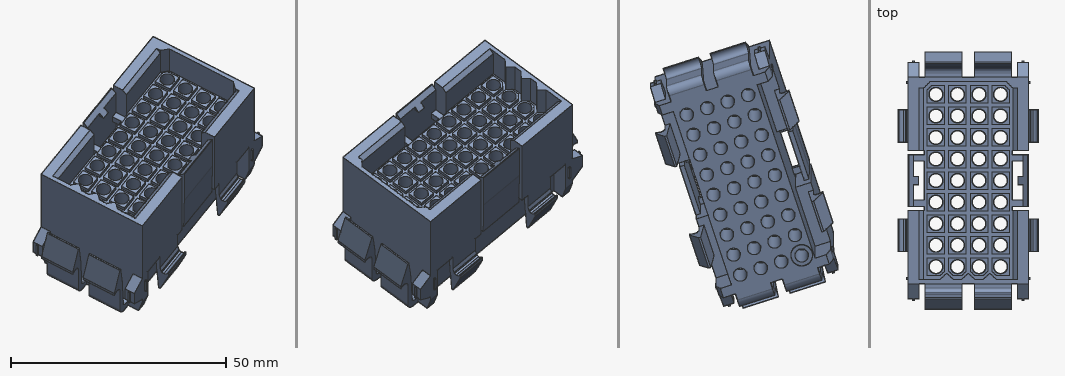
import cadquery as cq

OVERALL_X = 32.6
OVERALL_Y = 59.8
OVERALL_Z = 33.5

PAD_DIAMETER = 5.0
PAD_HEIGHT = 0.5

BODY_X = 28.0
BODY_Y = 48.0
BODY_Z = OVERALL_Z - PAD_HEIGHT
HALF_X = BODY_X / 2
HALF_Y = BODY_Y / 2

COLUMNS = 4
ROWS = 9
ROW_SPAN = 40.0
PITCH = ROW_SPAN / (ROWS - 1)
UPPER_HOLE_DIAMETER = 3.3
LOWER_HOLE_DIAMETER = 3.1
PILLAR_SIDE = 4.05
PILLAR_HEIGHT = 0.9
PILLAR_CORNER_CUT = 1.0
FLOOR_Z = 24.65
FIRST_COLUMN_X = -PITCH * (COLUMNS - 1) / 2
FIRST_ROW_Y = -ROW_SPAN / 2

CAVITY_HALF_X = 10.35
CAVITY_HALF_Y = 22.95
CAVITY_CORNER_CUT = 1.5
CHAMFER_WIDTH = 1.1
CHAMFER_DROP = 1.0
TOOTH_HALF_WIDTH = 1.55
TOOTH_HEIGHT = 1.45

CORE_HALF_X = 10.2
RECESS_Z = 13.0
POST_LENGTH = 2.35
POST_TAPER = 1.1
POST_TAPER_Z = 4.0
GAP_HALF_Y = 6.95

PANEL_HALF_Y = 6.05
PANEL_INNER_X = 12.7
PANEL_TOP_X = 13.8
PANEL_BOTTOM_X = 13.8
PANEL_BEND_Z = 23.0
PANEL_TOOTH_X = 11.55
PANEL_TOOTH_WIDTH = 2.0
BRIDGE_LENGTH = 1.55
BRIDGE_HEIGHT = 1.8

SIDE_CLIP_Y = 12.7
SIDE_CLIP_LENGTH = 7.6
SIDE_CLIP_REACH = OVERALL_X / 2
SIDE_CLIP_TOP_INNER_X = 12.75
SIDE_CLIP_FOOT_Z = 1.0
SIDE_CLIP_FOOT_INNER_X = 13.6
SIDE_CLIP_FOOT_OUTER_X = 14.05
SIDE_CLIP_LIP_BOTTOM_Z = 7.2
SIDE_CLIP_LIP_TOP_Z = 8.15
SIDE_CLIP_LIP_WIDTH = 0.25
SIDE_CLIP_LIP_ARC_MIDDLE = (15.65, 7.6)
SIDE_CLIP_VALLEY_START_Z = 8.8
SIDE_CLIP_VALLEY_POINTS = [(14.35, 7.7), (14.55, 7.5), (15.05, 7.35)]

LATCH_INNER_X = 1.45
LATCH_WIDTH = 8.6
LATCH_REACH = OVERALL_Y / 2
LATCH_OUTER_Y = 27.5
LATCH_FOOT_INNER_Y = 26.0
LATCH_WAIST_INNER_Y = 26.5
LATCH_WAIST_Z = 11.7
LATCH_TIP_INNER_Y = 27.15
LATCH_TIP_Z = 17.1
LATCH_LIP_TOP_Z = 10.9
LATCH_LIP_BOTTOM_Z = 10.1
LATCH_VALLEY_Y = 28.8
LATCH_VALLEY_Z = 10.65
LATCH_VALLEY_END_Z = 9.15
LATCH_FLOOR = 1.8
LATCH_OUTER_RADIUS = 2.0
LATCH_INNER_RADIUS = 1.0

LUG_WIDTH = 2.6
LUG_REACH_Y = 27.45
LUG_FACE_BOTTOM_Z = 7.1
LUG_FACE_TOP_Z = 11.0
LUG_BOTTOM_Z = 5.0
RIB_WIDTH = 0.5
RIB_HEIGHT = 0.35
SIDE_RIB_Y = 22.8


def box(x_range, y_range, z_range):
    """Axis-aligned block between the given limits."""
    size = [high - low for low, high in (x_range, y_range, z_range)]
    return cq.Workplane("XY").box(*size, centered=False).translate((x_range[0], y_range[0], z_range[0]))


def mirrored_x(shape):
    """The shape together with its mirror image at -X."""
    return shape.union(shape.mirror("YZ"))


def mirrored_y(shape):
    """The shape together with its mirror image at -Y."""
    return shape.union(shape.mirror("XZ"))


def along_y(profile, y_low, y_high):
    """Extrude a closed XZ profile from y_low to y_high."""
    return profile.extrude(-(y_high - y_low)).translate((0, y_low, 0))


def make_body():
    """Block with tapered lower corners, side recesses and gaps for the centre panels."""
    outline = (
        cq.Workplane("XZ")
        .moveTo(HALF_X - POST_TAPER, 0)
        .lineTo(HALF_X, POST_TAPER_Z)
        .lineTo(HALF_X, BODY_Z)
        .lineTo(-HALF_X, BODY_Z)
        .lineTo(-HALF_X, POST_TAPER_Z)
        .lineTo(POST_TAPER - HALF_X, 0)
        .close()
    )
    recess_half_y = HALF_Y - POST_LENGTH
    recess = box((CORE_HALF_X, HALF_X), (-recess_half_y, recess_half_y), (0, RECESS_Z))
    gap = box((CORE_HALF_X, HALF_X), (-GAP_HALF_Y, GAP_HALF_Y), (RECESS_Z, BODY_Z))
    return along_y(outline, -HALF_Y, HALF_Y).cut(mirrored_x(recess.union(gap)))


def make_cavity():
    """Space inside the walls: cut back corners, wall teeth between columns, chamfered rim."""
    depth = BODY_Z - FLOOR_Z
    corner_y = CAVITY_HALF_Y - CAVITY_CORNER_CUT
    outline = cq.Workplane("XY").moveTo(-CAVITY_HALF_X, -CAVITY_HALF_Y)
    for i in range(1, COLUMNS):
        tooth_x = FIRST_COLUMN_X + (i - 0.5) * PITCH
        outline = (
            outline.lineTo(tooth_x - TOOTH_HALF_WIDTH, -CAVITY_HALF_Y)
            .lineTo(tooth_x, TOOTH_HEIGHT - CAVITY_HALF_Y)
            .lineTo(tooth_x + TOOTH_HALF_WIDTH, -CAVITY_HALF_Y)
        )
    outline = (
        outline.lineTo(CAVITY_HALF_X, -CAVITY_HALF_Y)
        .lineTo(CAVITY_HALF_X, corner_y)
        .lineTo(CAVITY_HALF_X - CAVITY_CORNER_CUT, CAVITY_HALF_Y)
        .lineTo(CAVITY_CORNER_CUT - CAVITY_HALF_X, CAVITY_HALF_Y)
        .lineTo(-CAVITY_HALF_X, corner_y)
        .close()
    )
    room = outline.extrude(depth).translate((0, 0, FLOOR_Z))
    rim_profile = (
        cq.Workplane("XZ")
        .moveTo(CAVITY_HALF_X, BODY_Z - CHAMFER_DROP)
        .lineTo(CAVITY_HALF_X + CHAMFER_WIDTH, BODY_Z)
        .lineTo(CAVITY_HALF_X, BODY_Z)
        .close()
    )
    rim = along_y(rim_profile, -CAVITY_HALF_Y, corner_y)
    return room.union(mirrored_x(rim))


def make_pillar(column, row):
    """Square pillar around one contact; edge pillars lose the corners that face the wall."""
    pillar = cq.Workplane("XY").box(PILLAR_SIDE, PILLAR_SIDE, PILLAR_HEIGHT, centered=(True, True, False))
    cut_edges = []
    if row == ROWS - 1 and column == 0:
        cut_edges.append("|Z and <X and >Y")
    if row == ROWS - 1 and column == COLUMNS - 1:
        cut_edges.append("|Z and >X and >Y")
    if row == 0 and column > 0:
        cut_edges.append("|Z and <X and <Y")
    if row == 0 and column < COLUMNS - 1:
        cut_edges.append("|Z and >X and <Y")
    for edge in cut_edges:
        pillar = pillar.edges(edge).chamfer(PILLAR_CORNER_CUT)
    return pillar.translate((FIRST_COLUMN_X + column * PITCH, FIRST_ROW_Y + row * PITCH, FLOOR_Z))


def make_panel():
    """Centre panel with chamfered top, leaning lower face, a tooth and two bridges to the core."""
    slope = CHAMFER_DROP / CHAMFER_WIDTH
    inner_z = BODY_Z - slope * (PANEL_TOP_X - PANEL_INNER_X)
    tooth_z = BODY_Z - slope * (PANEL_TOP_X - PANEL_TOOTH_X)
    wall_profile = (
        cq.Workplane("XZ")
        .moveTo(PANEL_INNER_X, RECESS_Z)
        .lineTo(PANEL_BOTTOM_X, RECESS_Z)
        .lineTo(HALF_X, PANEL_BEND_Z)
        .lineTo(HALF_X, BODY_Z)
        .lineTo(PANEL_TOP_X, BODY_Z)
        .lineTo(PANEL_INNER_X, inner_z)
        .close()
    )
    tooth_profile = (
        cq.Workplane("XZ")
        .moveTo(PANEL_TOP_X, BODY_Z)
        .lineTo(PANEL_TOOTH_X, tooth_z)
        .lineTo(PANEL_TOP_X, tooth_z)
        .close()
    )
    wall = along_y(wall_profile, -PANEL_HALF_Y, PANEL_HALF_Y)
    tooth = along_y(tooth_profile, -PANEL_TOOTH_WIDTH / 2, PANEL_TOOTH_WIDTH / 2)
    bridge = box(
        (CORE_HALF_X, PANEL_INNER_X),
        (PANEL_HALF_Y - BRIDGE_LENGTH, PANEL_HALF_Y),
        (FLOOR_Z - BRIDGE_HEIGHT, FLOOR_Z),
    )
    return wall.union(tooth).union(mirrored_y(bridge))


def make_side_clip():
    """Tapered tongue hanging from the wall, with an upturned outer lip."""
    profile = (
        cq.Workplane("XZ")
        .moveTo(SIDE_CLIP_TOP_INNER_X, RECESS_Z)
        .lineTo(HALF_X, RECESS_Z)
        .lineTo(HALF_X, SIDE_CLIP_VALLEY_START_Z)
        .polyline(SIDE_CLIP_VALLEY_POINTS, includeCurrent=True)
        .threePointArc(
            SIDE_CLIP_LIP_ARC_MIDDLE,
            (SIDE_CLIP_REACH - SIDE_CLIP_LIP_WIDTH, SIDE_CLIP_LIP_TOP_Z),
        )
        .lineTo(SIDE_CLIP_REACH, SIDE_CLIP_LIP_TOP_Z)
        .lineTo(SIDE_CLIP_REACH, SIDE_CLIP_LIP_BOTTOM_Z)
        .lineTo(SIDE_CLIP_FOOT_OUTER_X, SIDE_CLIP_FOOT_Z)
        .lineTo(SIDE_CLIP_FOOT_INNER_X, SIDE_CLIP_FOOT_Z)
        .close()
    )
    half_length = SIDE_CLIP_LENGTH / 2
    return along_y(profile, SIDE_CLIP_Y - half_length, SIDE_CLIP_Y + half_length)


def make_latch():
    """Curved arm leaving the bottom of the end wall and rising to a barbed tip."""
    inner_start_y = LATCH_FOOT_INNER_Y - LATCH_INNER_RADIUS
    profile = (
        cq.Workplane("YZ")
        .moveTo(HALF_Y - POST_LENGTH, 0)
        .lineTo(LATCH_OUTER_Y - LATCH_OUTER_RADIUS, 0)
        .radiusArc((LATCH_OUTER_Y, LATCH_OUTER_RADIUS), -LATCH_OUTER_RADIUS)
        .lineTo(LATCH_OUTER_Y, LATCH_VALLEY_END_Z)
        .threePointArc((LATCH_VALLEY_Y, LATCH_VALLEY_Z), (LATCH_REACH, LATCH_LIP_BOTTOM_Z))
        .lineTo(LATCH_REACH, LATCH_LIP_TOP_Z)
        .lineTo(LATCH_OUTER_Y, LATCH_TIP_Z)
        .lineTo(LATCH_TIP_INNER_Y, LATCH_TIP_Z)
        .lineTo(LATCH_WAIST_INNER_Y, LATCH_WAIST_Z)
        .lineTo(LATCH_FOOT_INNER_Y, LATCH_FLOOR + LATCH_INNER_RADIUS)
        .radiusArc((inner_start_y, LATCH_FLOOR), LATCH_INNER_RADIUS)
        .lineTo(HALF_Y - POST_LENGTH, LATCH_FLOOR)
        .close()
    )
    return profile.extrude(LATCH_WIDTH).translate((LATCH_INNER_X, 0, 0))


def make_lug():
    """Corner lug with sloped top and bottom, plus thin ribs on its two outer faces."""
    profile = (
        cq.Workplane("YZ")
        .moveTo(HALF_Y, LUG_BOTTOM_Z)
        .lineTo(LUG_REACH_Y, LUG_FACE_BOTTOM_Z)
        .lineTo(LUG_REACH_Y, LUG_FACE_TOP_Z)
        .lineTo(HALF_Y, RECESS_Z)
        .close()
    )
    lug = profile.extrude(LUG_WIDTH).translate((HALF_X - LUG_WIDTH, 0, 0))
    rib_x = HALF_X - LUG_WIDTH / 2
    half_rib = RIB_WIDTH / 2
    rib_z = (LUG_FACE_BOTTOM_Z, LUG_FACE_TOP_Z)
    end_rib = box((rib_x - half_rib, rib_x + half_rib), (LUG_REACH_Y, LUG_REACH_Y + RIB_HEIGHT), rib_z)
    side_rib = box((HALF_X, HALF_X + RIB_HEIGHT), (SIDE_RIB_Y - half_rib, SIDE_RIB_Y + half_rib), rib_z)
    return lug.union(end_rib).union(side_rib)


def make_contact_holes(diameter, bottom_z):
    """One bore per contact, from bottom_z up to the top of the housing."""
    return (
        cq.Workplane("XY", origin=(0, 0, bottom_z))
        .rarray(PITCH, PITCH, COLUMNS, ROWS)
        .circle(diameter / 2)
        .extrude(BODY_Z - bottom_z)
    )


result = make_body().cut(make_cavity())
for column in range(COLUMNS):
    for row in range(ROWS):
        result = result.union(make_pillar(column, row))

for feature in (make_side_clip(), make_latch(), make_lug()):
    result = result.union(mirrored_x(mirrored_y(feature)))
result = result.union(mirrored_x(make_panel()))

pad = (
    cq.Workplane("XY", origin=(FIRST_COLUMN_X, FIRST_ROW_Y, -PAD_HEIGHT))
    .circle(PAD_DIAMETER / 2)
    .extrude(PAD_HEIGHT)
)
result = result.union(pad)

result = result.cut(make_contact_holes(LOWER_HOLE_DIAMETER, -PAD_HEIGHT))
result = result.cut(make_contact_holes(UPPER_HOLE_DIAMETER, RECESS_Z))